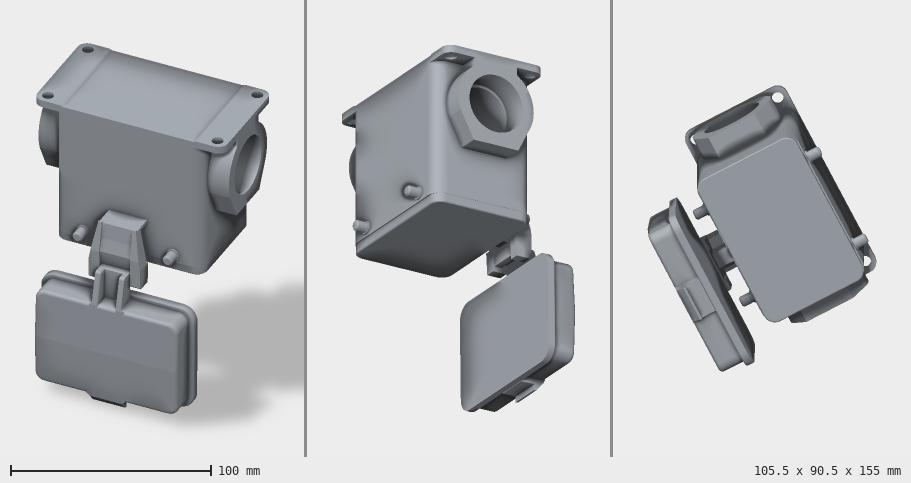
import cadquery as cq
import math


HEIGHT = 155.0
BODY_HALF_X = 41.0
BODY_HALF_Y = 28.4
BODY_BOTTOM = 74.1
BODY_CORNER = 7.1
SKIRT_TOP = 79.0
SKIRT_STEP_X = 0.2
SKIRT_STEP_Y = 0.8
SKIRT_CORNER = 5.9
SKIRT_EDGE = 0.5

FLANGE_LENGTH = 105.5
FLANGE_HALF_X = FLANGE_LENGTH / 2
FLANGE_THICKNESS = 4.0
FLANGE_CORNER = 5.3
FLANGE_BOTTOM = HEIGHT - FLANGE_THICKNESS
RECESS_DEPTH = 0.6
RECESS_HALF_X = 36.1
RECESS_TOP_HALF_X = 37.5
SCREW_X = 47.0
SCREW_Y = 23.0
SCREW_DIAMETER = 6.0

BOSS_Z = 128.5
BOSS_RADIUS = 22.0
BOSS_BOTTOM = 105.9
BOSS_FOOT_TOP = 120.7
BOSS_NECK_FILLET = 1.4
BOSS_FOOT_HALF_Y = 13.0
BOSS_NECK_HALF_Y = 12.2
BORE_DIAMETER = 28.0
SOCKET_DIAMETER = 31.0
SOCKET_DEPTH = 14.4

PIN_X = 25.0
PIN_Z = 83.5
PIN_DIAMETER = 5.5
PIN_TIP_Y = 35.5
PIN_TIP_CHAMFER = 0.8
COLLAR_DIAMETER = 6.7
COLLAR_LENGTH = 1.0

LEVER_FRONT = -44.2
LEVER_TOP_FRONT = -41.0
LEVER_BACK = -36.5
LEVER_FOOT_BACK = -34.9
LEVER_FOOT_BACK_LOW = -35.5
LEVER_TOP = 100.9
LEVER_BOTTOM = 68.4
LEVER_FOOT_TOP = 80.0
LEVER_BEND = 85.0
LEVER_EDGE = 1.1
LEVER_HALF_X_TOP = 10.5
LEVER_HALF_X = 14.3
PANEL_HALF_X = 8.5
PANEL_TOP_FRONT = -40.1
PANEL_MIDDLE_FRONT = -41.4
PANEL_MIDDLE_Z = 92.0
PANEL_BEND_FRONT = -43.4
PANEL_FOOT_FRONT = -40.3
PANEL_FOOT_Z = 71.3
PLATE_TOP = 100.1
PLATE_THICKNESS = 1.7
LINK_HALF_X = 3.9
LINK_TOP_HALF_X = 8.5
LINK_BOTTOM = 79.7
LINK_TOP = 93.8

COVER_Z = 32.4
COVER_TILT = -0.7
RIM_BACK = -36.9
RIM_FRONT = -41.0
RIM_HALF_X = 42.5
RIM_HALF_Z = 29.5
RIM_CORNER = 8.0
RIM_EDGE = 1.0
BOX_HALF_X = 39.5
BOX_HALF_Z = 26.8
BOX_CORNER = 5.1
BOX_EDGE = 1.9
BOX_RIDGE = -55.0
BOX_FRONT_SLOPE = 2.3
BOX_TOP = COVER_Z + BOX_HALF_Z
BOX_BOTTOM = COVER_Z - BOX_HALF_Z

ARM_HALF_X = 8.0
ARM_TOP = 76.5
ARM_BACK = -43.5
ARM_HINGE_BACK = -40.6
ARM_HINGE_BOTTOM = 72.8
ARM_TOP_FRONT = -50.0
ARM_EDGE = 1.5
POCKET_HALF_X = 5.0
POCKET_EDGE = 0.5
POCKET_BACK = -45.4
LIP_HALF_X = 9.0
LIP_BACK = -48.5
LIP_TIP_WIDTH = 1.2
LIP_BOTTOM = 0.0
LIP_WEDGE_TOP = 4.6
LIP_STEP_Z = 3.1
FLARE_RADIUS = 1.5


def block(x_half, y_min, y_max, z_min, z_max):
    """Box centred in X between the given Y and Z limits."""
    size = (2 * x_half, y_max - y_min, z_max - z_min)
    return cq.Workplane("XY").box(*size, centered=(True, False, False)).translate((0, y_min, z_min))


def side_profile(points, x_half):
    """Outline of (y, z) points extruded symmetrically along X."""
    return cq.Workplane("YZ").polyline(points).close().extrude(x_half, both=True)


def front_profile(points, y_min, y_max):
    """Outline of (x, z) points extruded along Y between two limits."""
    return cq.Workplane("XZ", origin=(0, y_max, 0)).polyline(points).close().extrude(y_max - y_min)


def make_housing():
    body = block(BODY_HALF_X, -BODY_HALF_Y, BODY_HALF_Y, SKIRT_TOP, HEIGHT)
    body = body.edges("|Z").fillet(BODY_CORNER)
    skirt_half_x = BODY_HALF_X - SKIRT_STEP_X
    skirt_half_y = BODY_HALF_Y - SKIRT_STEP_Y
    skirt = block(skirt_half_x, -skirt_half_y, skirt_half_y, BODY_BOTTOM, SKIRT_TOP)
    skirt = skirt.edges("|Z").fillet(SKIRT_CORNER).faces("<Z").edges().chamfer(SKIRT_EDGE)
    flange = block(FLANGE_HALF_X, -BODY_HALF_Y, BODY_HALF_Y, FLANGE_BOTTOM, HEIGHT)
    flange = flange.edges("|Z").fillet(FLANGE_CORNER)
    return body.union(skirt).union(flange)


def make_top_recess():
    floor = HEIGHT - RECESS_DEPTH
    outline = [
        (-RECESS_HALF_X, floor),
        (RECESS_HALF_X, floor),
        (RECESS_TOP_HALF_X, HEIGHT),
        (-RECESS_TOP_HALF_X, HEIGHT),
    ]
    return front_profile(outline, -BODY_HALF_Y, BODY_HALF_Y)


def make_bosses():
    """Round bosses on both ends, each with a tapered foot and a neck up to the flange."""
    foot_y = math.sqrt(BOSS_RADIUS**2 - (BOSS_Z - BOSS_FOOT_TOP) ** 2)
    neck_z = BOSS_Z + math.sqrt(BOSS_RADIUS**2 - BOSS_NECK_HALF_Y**2)
    bosses = (
        cq.Workplane("YZ")
        .moveTo(-BOSS_FOOT_HALF_Y, BOSS_BOTTOM)
        .lineTo(BOSS_FOOT_HALF_Y, BOSS_BOTTOM)
        .lineTo(foot_y, BOSS_FOOT_TOP)
        .threePointArc((BOSS_RADIUS, BOSS_Z), (BOSS_NECK_HALF_Y, neck_z))
        .lineTo(BOSS_NECK_HALF_Y, FLANGE_BOTTOM)
        .lineTo(-BOSS_NECK_HALF_Y, FLANGE_BOTTOM)
        .lineTo(-BOSS_NECK_HALF_Y, neck_z)
        .threePointArc((-BOSS_RADIUS, BOSS_Z), (-foot_y, BOSS_FOOT_TOP))
        .close()
        .extrude(FLANGE_HALF_X, both=True)
    )
    for y in (-BOSS_NECK_HALF_Y, BOSS_NECK_HALF_Y):
        neck_corner = cq.selectors.NearestToPointSelector((0, y, neck_z))
        bosses = bosses.edges(neck_corner).fillet(BOSS_NECK_FILLET)
    return bosses


def make_cable_bore():
    axis = cq.Workplane("YZ", origin=(0, 0, BOSS_Z))
    bore = axis.circle(BORE_DIAMETER / 2).extrude(FLANGE_HALF_X, both=True)
    sockets = axis.circle(SOCKET_DIAMETER / 2).extrude(FLANGE_HALF_X, both=True)
    ledge = FLANGE_HALF_X - SOCKET_DEPTH
    sockets = sockets.cut(axis.circle(SOCKET_DIAMETER / 2).extrude(ledge, both=True))
    return bore.union(sockets)


def make_screw_holes():
    return (
        cq.Workplane("XY", origin=(0, 0, FLANGE_BOTTOM))
        .rect(2 * SCREW_X, 2 * SCREW_Y, forConstruction=True)
        .vertices()
        .circle(SCREW_DIAMETER / 2)
        .extrude(FLANGE_THICKNESS)
    )


def make_pins():
    """Two pins straight through the housing, showing on its front and back."""
    sites = [(-PIN_X, PIN_Z), (PIN_X, PIN_Z)]
    plane = cq.Workplane("XZ").pushPoints(sites)
    pins = plane.circle(PIN_DIAMETER / 2).extrude(PIN_TIP_Y, both=True)
    pins = pins.faces("<Y or >Y").edges().chamfer(PIN_TIP_CHAMFER)
    collar_y = BODY_HALF_Y + COLLAR_LENGTH
    return pins.union(plane.circle(COLLAR_DIAMETER / 2).extrude(collar_y, both=True))


def make_lever():
    cheek_profile = [
        (LEVER_BACK, PLATE_TOP),
        (PANEL_TOP_FRONT, PLATE_TOP),
        (PANEL_TOP_FRONT, LEVER_TOP),
        (LEVER_TOP_FRONT, LEVER_TOP),
        (LEVER_FRONT, LEVER_BEND),
        (LEVER_FRONT, LEVER_BOTTOM + LEVER_EDGE),
        (LEVER_FRONT + LEVER_EDGE, LEVER_BOTTOM),
        (LEVER_FOOT_BACK_LOW, LEVER_BOTTOM),
        (LEVER_FOOT_BACK, LEVER_FOOT_TOP),
        (LEVER_BACK, LEVER_FOOT_TOP),
    ]
    flare = [
        (-LEVER_HALF_X_TOP, LEVER_TOP),
        (LEVER_HALF_X_TOP, LEVER_TOP),
        (LEVER_HALF_X_TOP, PLATE_TOP),
        (LEVER_HALF_X, LEVER_FOOT_TOP),
        (LEVER_HALF_X, LEVER_BOTTOM),
        (-LEVER_HALF_X, LEVER_BOTTOM),
        (-LEVER_HALF_X, LEVER_FOOT_TOP),
        (-LEVER_HALF_X_TOP, PLATE_TOP),
    ]
    cheeks = side_profile(cheek_profile, LEVER_HALF_X)
    cheeks = cheeks.intersect(front_profile(flare, LEVER_FRONT, -BODY_HALF_Y))
    cheeks = cheeks.cut(block(PANEL_HALF_X, LEVER_FRONT, 0, LEVER_BOTTOM, LEVER_TOP))

    panel_profile = [
        (LEVER_BACK, PLATE_TOP),
        (PANEL_TOP_FRONT, PLATE_TOP),
        (PANEL_MIDDLE_FRONT, PANEL_MIDDLE_Z),
        (PANEL_BEND_FRONT, LEVER_BEND),
        (PANEL_FOOT_FRONT, PANEL_FOOT_Z),
        (LEVER_BACK, PANEL_FOOT_Z),
    ]
    panel = side_profile(panel_profile, PANEL_HALF_X)

    plate_bottom = PLATE_TOP - PLATE_THICKNESS
    plate = block(LEVER_HALF_X_TOP, LEVER_BACK, -BODY_HALF_Y, plate_bottom, PLATE_TOP)
    link_outline = [
        (-LINK_HALF_X, LINK_BOTTOM),
        (LINK_HALF_X, LINK_BOTTOM),
        (LINK_HALF_X, LINK_TOP),
        (LINK_TOP_HALF_X, plate_bottom),
        (-LINK_TOP_HALF_X, plate_bottom),
        (-LINK_HALF_X, LINK_TOP),
    ]
    link = front_profile(link_outline, LEVER_BACK, -BODY_HALF_Y)
    return cheeks.union(panel).union(plate).union(link)


def box_front(z):
    """Y of the box front at a given height; it falls back evenly from the middle ridge."""
    return BOX_RIDGE + abs(z - COVER_Z) * math.tan(math.radians(BOX_FRONT_SLOPE))


def make_rim():
    rim = block(RIM_HALF_X, RIM_FRONT, RIM_BACK, COVER_Z - RIM_HALF_Z, COVER_Z + RIM_HALF_Z)
    return rim.edges("|Y").fillet(RIM_CORNER).faces("<Y").edges().fillet(RIM_EDGE)


def make_box():
    """Rounded box whose front rises to a shallow ridge at mid height."""
    profile = [
        (RIM_BACK, BOX_BOTTOM),
        (box_front(BOX_BOTTOM), BOX_BOTTOM),
        (BOX_RIDGE, COVER_Z),
        (box_front(BOX_TOP), BOX_TOP),
        (RIM_BACK, BOX_TOP),
    ]
    box = side_profile(profile, BOX_HALF_X).edges("|Y").fillet(BOX_CORNER)
    near_front = cq.selectors.BoxSelector(
        (-HEIGHT, BOX_RIDGE - 1.5, 0), (HEIGHT, box_front(BOX_TOP) + 1.5, HEIGHT)
    )
    ridge = cq.selectors.StringSyntaxSelector("<Y")
    return box.edges(near_front - ridge).fillet(BOX_EDGE)


def flared_strip(x_half, z_end, z_wall, z_root):
    """Strip of the given half width that flares with a round where it meets a wall of the box."""
    outward = math.copysign(1, z_end - z_wall)
    z_flare = z_wall + outward * FLARE_RADIUS
    inset = FLARE_RADIUS * (1 - math.sqrt(0.5))
    z_middle = z_wall + outward * inset
    x_wide = x_half + FLARE_RADIUS
    return (
        cq.Workplane("XZ")
        .moveTo(-x_half, z_end)
        .lineTo(x_half, z_end)
        .lineTo(x_half, z_flare)
        .threePointArc((x_half + inset, z_middle), (x_wide, z_wall))
        .lineTo(x_wide, z_root)
        .lineTo(-x_wide, z_root)
        .lineTo(-x_wide, z_wall)
        .threePointArc((-x_half - inset, z_middle), (-x_half, z_flare))
        .close()
        .extrude(-BOX_RIDGE)
    )


def make_arm():
    """Hinge arm on top of the box: a back wall and two ears around a pocket open at the front."""
    root = BOX_TOP - 2 * BOX_EDGE
    profile = [
        (ARM_BACK, root),
        (box_front(root), root),
        (box_front(BOX_TOP), BOX_TOP),
        (ARM_TOP_FRONT, ARM_TOP),
        (ARM_HINGE_BACK, ARM_TOP),
        (ARM_HINGE_BACK, ARM_HINGE_BOTTOM),
        (ARM_BACK, ARM_HINGE_BOTTOM),
    ]
    arm = side_profile(profile, 2 * ARM_HALF_X).faces(">Z").edges("<Y").fillet(ARM_EDGE)
    arm = arm.intersect(flared_strip(ARM_HALF_X, ARM_TOP, BOX_TOP, root))
    arm = arm.cut(block(POCKET_HALF_X, BOX_RIDGE, POCKET_BACK, root, ARM_TOP))
    reach = POCKET_HALF_X + POCKET_EDGE
    around_pocket = cq.selectors.BoxSelector(
        (-reach, BOX_RIDGE, BOX_TOP), (reach, POCKET_BACK + POCKET_EDGE, ARM_TOP + POCKET_EDGE)
    )
    inner_corners = cq.selectors.StringSyntaxSelector("|Z")
    return arm.edges(around_pocket - inner_corners).chamfer(POCKET_EDGE)


def make_lip():
    """Wedge-shaped lip hanging below the front of the box."""
    root = BOX_BOTTOM + 2 * BOX_EDGE
    profile = [
        (RIM_FRONT, root),
        (box_front(root), root),
        (box_front(LIP_WEDGE_TOP), LIP_WEDGE_TOP),
        (LIP_BACK - LIP_TIP_WIDTH, LIP_BOTTOM),
        (LIP_BACK, LIP_BOTTOM),
        (LIP_BACK, LIP_STEP_Z),
        (RIM_FRONT, LIP_STEP_Z),
    ]
    lip = side_profile(profile, 2 * LIP_HALF_X)
    return lip.intersect(flared_strip(LIP_HALF_X, LIP_BOTTOM, BOX_BOTTOM, root))


def make_cover():
    cover = make_rim().union(make_box()).union(make_arm()).union(make_lip())
    return cover.rotate((0, LIP_BACK, COVER_Z), (1, LIP_BACK, COVER_Z), COVER_TILT)


result = (
    make_housing()
    .union(make_bosses())
    .cut(make_top_recess())
    .cut(make_cable_bore())
    .cut(make_screw_holes())
    .union(make_pins())
    .union(make_lever())
    .union(make_cover())
)